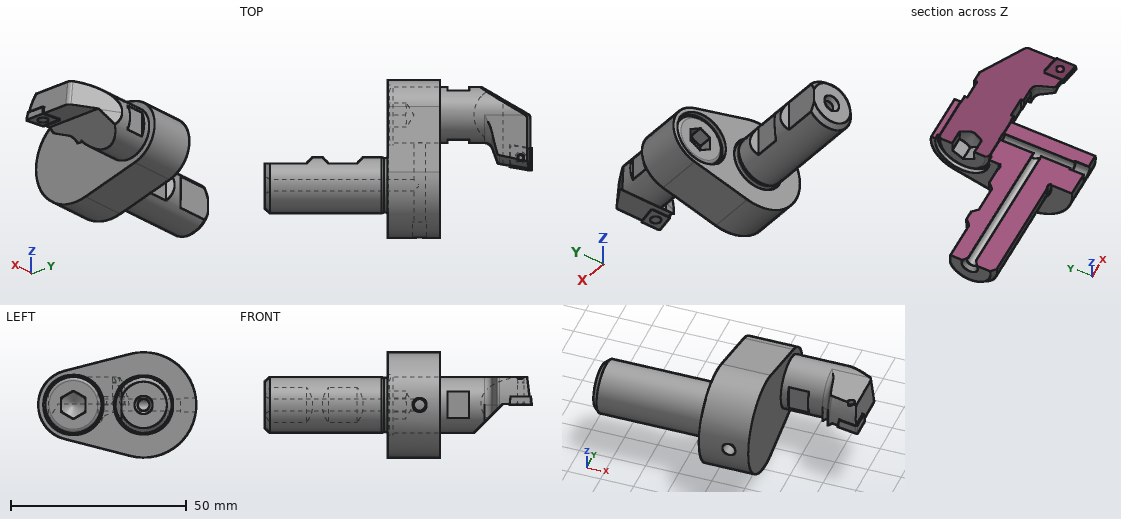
import cadquery as cq
import math


overall_length = 76.0

housing_length = 15.0
housing_width = 45.0
big_end_radius = 30.0 / 2
small_end_radius = 10.0
bar_offset = housing_width - big_end_radius - small_end_radius

shank_radius = 8.0
shank_length = 34.95
shank_chamfer_length = 1.5
shank_chamfer_depth = 1.4
shank_flat_height = 6.2
rear_flat_end = -23.0
front_flat_start = -16.8
front_flat_end = -8.7

undercut_radius = 7.75
undercut_start = -1.75
undercut_floor_start = -1.1
undercut_floor_end = -0.45
undercut_face_depth = 0.2
undercut_inner_radius = 8.1
undercut_mouth_radius = 8.4

channel_radius = 1.7
shank_countersink_radius = 2.6
shank_countersink_angle = 60.0
cross_hole_x = 9.1
thread_radius = 2.0
thread_depth = 4.55

bar_radius = 8.0
bar_recess = 0.6
bar_end_fillet = 1.1
counterbore_radius = 8.6
counterbore_depth = 1.5
socket_width = 6.9
socket_depth = 4.55
socket_cone_radius = 3.8
drill_point_angle = 118.0
wrench_flat_start = 17.1
wrench_flat_length = 6.1
wrench_flat_width = 14.05

neck_x = 29.2
neck_fillet = 2.3
neck_angle = 70.0
shoulder_radius = 13.8
shoulder_fillet = 0.75
side_angle = 10.0
nose_face_x = 40.65
clearance_angle = 7.0
back_slope_start = 26.6
back_slope_angle = 30.0
back_lean_angle = 4.0
back_corner_fillet = 1.5
throat_end = 32.5
rake_floor = 0.2

insert_tip_x = overall_length - shank_length
insert_tip_drop = 15.9
inscribed_diameter = 6.4
insert_thickness = 2.4
insert_nose_radius = 0.4
corner_angle = 90.0 - side_angle
screw_radius = 1.0
screw_head_radius = 1.6
screw_end_chamfer = 0.2
screw_recess = 1.5

SPAN = 76.0


def cylinder_x(radius, start, end, y=0.0):
    """Solid cylinder along X from start to end."""
    return cq.Workplane("YZ", origin=(start, y, 0)).circle(radius).extrude(end - start)


def frustum_z(radius_low, radius_high, z_low, z_high, x, y):
    """Solid cone frustum along Z."""
    cone = cq.Solid.makeCone(radius_low, radius_high, z_high - z_low, cq.Vector(x, y, z_low))
    return cq.Workplane(obj=cone)


def block(x_range, y_range, z_range):
    """Box given by its limits along each axis."""
    ranges = (x_range, y_range, z_range)
    size = [high - low for low, high in ranges]
    low_corner = cq.Vector(*[low for low, high in ranges])
    return cq.Workplane(obj=cq.Solid.makeBox(*size, low_corner))


def corner_arc(before, corner, after, radius):
    """Start, middle and end of the arc that rounds the corner between two straight lines."""
    to_before = (cq.Vector(*before) - cq.Vector(*corner)).normalized()
    to_after = (cq.Vector(*after) - cq.Vector(*corner)).normalized()
    half_angle = to_before.getAngle(to_after) / 2
    setback = radius / math.tan(half_angle)
    middle_distance = radius / math.sin(half_angle) - radius
    start = cq.Vector(*corner) + to_before * setback
    middle = cq.Vector(*corner) + (to_before + to_after).normalized() * middle_distance
    end = cq.Vector(*corner) + to_after * setback
    return [point.toTuple()[:2] for point in (start, middle, end)]



def housing_plate():
    """Two round ends of different radius joined by tangent flats."""
    tangent_sine = (big_end_radius - small_end_radius) / bar_offset
    tangent_cosine = math.sqrt(1 - tangent_sine**2)
    big_y = big_end_radius * tangent_sine
    big_z = big_end_radius * tangent_cosine
    small_y = bar_offset + small_end_radius * tangent_sine
    small_z = small_end_radius * tangent_cosine
    return (
        cq.Workplane("YZ")
        .moveTo(big_y, big_z)
        .threePointArc((-big_end_radius, 0), (big_y, -big_z))
        .lineTo(small_y, -small_z)
        .threePointArc((bar_offset + small_end_radius, 0), (small_y, small_z))
        .close()
        .extrude(housing_length)
    )


def shank():
    """Chamfered shank with its undercut, running a little way into the housing."""
    end = -shank_length
    return (
        cq.Workplane("XY")
        .moveTo(end, 0)
        .lineTo(end, shank_radius - shank_chamfer_depth)
        .lineTo(end + shank_chamfer_length, shank_radius)
        .lineTo(undercut_start, shank_radius)
        .lineTo(undercut_floor_start, undercut_radius)
        .lineTo(undercut_floor_end, undercut_radius)
        .tangentArcPoint((undercut_face_depth, undercut_inner_radius), relative=False)
        .lineTo(undercut_face_depth, 0)
        .close()
        .revolve(360, (0, 0, 0), (1, 0, 0))
    )


def face_groove():
    """Recess of the undercut in the rear face, sloping out to its mouth."""
    return (
        cq.Workplane("XY")
        .moveTo(0, undercut_radius)
        .lineTo(undercut_face_depth, undercut_radius)
        .lineTo(undercut_face_depth, undercut_inner_radius)
        .lineTo(0, undercut_mouth_radius)
        .close()
        .revolve(360, (0, 0, 0), (1, 0, 0))
    )


def shank_flat(start, end, rear_ramp):
    """Cutter for a clamping flat on the +Y side, with 45 degree ramps at its ends."""
    rise = shank_radius - shank_flat_height
    ramp = rise if rear_ramp else 0
    return (
        cq.Workplane("XY")
        .polyline([
            (start, shank_flat_height),
            (end, shank_flat_height),
            (end + rise, shank_radius),
            (start - ramp, shank_radius),
        ])
        .close()
        .extrude(shank_radius, both=True)
    )


def shank_mouth():
    """Conical mouth of the shank channel."""
    depth = (shank_countersink_radius - channel_radius) / math.tan(math.radians(shank_countersink_angle / 2))
    cone = cq.Solid.makeCone(
        shank_countersink_radius, channel_radius, depth, cq.Vector(-shank_length, 0, 0), cq.Vector(1, 0, 0)
    )
    return cq.Workplane(obj=cone)


def cross_hole():
    """Hole from the big end through to the bar bore, widened by its thread at the mouth."""
    mouth = cq.Workplane("XZ", origin=(cross_hole_x, -big_end_radius, 0))
    channel = mouth.circle(channel_radius).extrude(-(big_end_radius + bar_offset))
    thread = mouth.circle(thread_radius).extrude(-thread_depth)
    return channel.union(thread)


def make_housing():
    body = housing_plate().cut(face_groove()).union(shank())
    body = body.cut(shank_flat(-shank_length, rear_flat_end, rear_ramp=False))
    body = body.cut(shank_flat(front_flat_start, front_flat_end, rear_ramp=True))
    body = body.cut(cylinder_x(channel_radius, -shank_length, cross_hole_x))
    body = body.cut(shank_mouth())
    body = body.cut(cross_hole())
    body = body.cut(cylinder_x(bar_radius, 0, housing_length, bar_offset))
    return body.cut(cylinder_x(counterbore_radius, 0, counterbore_depth, bar_offset))



def insert_center():
    """Middle of the insert, reached from the cutting corner along its bisector."""
    half_diagonal = inscribed_diameter / 2 / math.sin(math.radians(corner_angle / 2))
    direction = math.radians(90 + corner_angle / 2)
    x = insert_tip_x + half_diagonal * math.cos(direction)
    y = bar_offset - insert_tip_drop + half_diagonal * math.sin(direction)
    return x, y


def insert_blank():
    """Rhombic prism with its cutting face at z = 0, tapering upward by the clearance angle."""
    edge = inscribed_diameter / math.sin(math.radians(corner_angle))
    tip_y = bar_offset - insert_tip_drop
    side_x = -edge * math.cos(math.radians(side_angle))
    side_y = edge * math.sin(math.radians(side_angle))
    prism = (
        cq.Workplane("XY")
        .polyline([
            (insert_tip_x, tip_y),
            (insert_tip_x, tip_y + edge),
            (insert_tip_x + side_x, tip_y + edge + side_y),
            (insert_tip_x + side_x, tip_y + side_y),
        ])
        .close()
        .extrude(insert_thickness, taper=clearance_angle)
    )
    return prism.edges("not #Z").edges("<Y or >Y").fillet(insert_nose_radius)


def make_insert_screw():
    """Countersunk screw with its head flush in the insert and a chamfered end."""
    x, y = insert_center()
    end_z = bar_radius - screw_recess
    chamfer_z = end_z - screw_end_chamfer
    head = frustum_z(screw_head_radius, screw_radius, 0, screw_head_radius - screw_radius, x, y)
    body = cq.Workplane("XY", origin=(x, y, 0)).circle(screw_radius).extrude(chamfer_z)
    tip = frustum_z(screw_radius, screw_radius - screw_end_chamfer, chamfer_z, end_z, x, y)
    return head.union(body).union(tip)



def hex_socket():
    """Hexagonal socket with a drilled point, its flats facing +Y and -Y."""
    corner_diameter = socket_width / math.cos(math.radians(30))
    point_depth = socket_cone_radius / math.tan(math.radians(drill_point_angle / 2))
    floor_x = bar_recess + socket_depth
    prism = (
        cq.Workplane("YZ", origin=(bar_recess, bar_offset, 0))
        .transformed(rotate=(0, 0, 90))
        .polygon(6, corner_diameter)
        .extrude(socket_depth + point_depth)
    )
    point = cq.Solid.makeCone(
        socket_cone_radius, 0, point_depth, cq.Vector(floor_x, bar_offset, 0), cq.Vector(1, 0, 0)
    )
    drilled = cylinder_x(corner_diameter, bar_recess, floor_x, bar_offset).union(cq.Workplane(obj=point))
    return prism.intersect(drilled)


def wrench_flats():
    """Cutters for the two opposite flats on the +Y and -Y sides of the bar."""
    x_range = (wrench_flat_start, wrench_flat_start + wrench_flat_length)
    z_range = (-bar_radius, bar_radius)
    flat = wrench_flat_width / 2
    near = block(x_range, (bar_offset - bar_radius, bar_offset - flat), z_range)
    far = block(x_range, (bar_offset + flat, bar_offset + bar_radius), z_range)
    return near.add(far).combine()


def head_outline():
    """Half section of the head on the -Y side of the bar axis, up to beyond its front face."""
    neck_run = (shoulder_radius - bar_radius) / math.tan(math.radians(neck_angle))
    end_rise = (insert_tip_x - neck_x - neck_run) * math.tan(math.radians(side_angle))
    bar_line = (0, -bar_radius)
    neck = (neck_x, -bar_radius)
    shoulder = (neck_x + neck_run, -shoulder_radius)
    end = (insert_tip_x, -shoulder_radius - end_rise)
    neck_start, neck_middle, neck_end = corner_arc(bar_line, neck, shoulder, neck_fillet)
    shoulder_start, shoulder_middle, shoulder_end = corner_arc(neck, shoulder, end, shoulder_fillet)
    return (
        cq.Workplane("XY", origin=(0, bar_offset, 0))
        .moveTo(neck_start[0], 0)
        .lineTo(*neck_start)
        .threePointArc(neck_middle, neck_end)
        .lineTo(*shoulder_start)
        .threePointArc(shoulder_middle, shoulder_end)
        .lineTo(*end)
        .lineTo(insert_tip_x, 0)
        .close()
    )


def head_blank():
    """Head turned about the bar axis above z = 0 and straight below it, flat on top."""
    turned = head_outline().revolve(90, (0, 0, 0), (-1, 0, 0))
    straight = head_outline().extrude(-bar_radius)
    top_limit = block((0, SPAN), (-SPAN, SPAN), (-SPAN, bar_radius))
    return turned.intersect(top_limit).union(straight)


def add_envelope_outline(plane, height):
    """Draw the plan of the front face and the sloping back face, leaning inward up to this height."""
    slope = math.radians(back_slope_angle)
    front_x = nose_face_x - height * math.tan(math.radians(clearance_angle))
    back_lean = height * math.tan(math.radians(back_lean_angle)) / math.cos(slope)
    back_y = bar_offset + bar_radius - back_lean
    rear = (0, back_y + back_slope_start * math.tan(slope))
    corner = (front_x, back_y - (front_x - back_slope_start) * math.tan(slope))
    front = (front_x, -SPAN)
    arc_start, arc_middle, arc_end = corner_arc(front, corner, rear, back_corner_fillet)
    return (
        plane.moveTo(0, -SPAN)
        .lineTo(*front)
        .lineTo(*arc_start)
        .threePointArc(arc_middle, arc_end)
        .lineTo(*rear)
        .close()
    )


def head_envelope():
    """Space left by the front and back faces: leaning above z = 0, upright below it."""
    base = add_envelope_outline(cq.Workplane("XY"), 0)
    upper = add_envelope_outline(base.workplane(offset=bar_radius), bar_radius).loft(ruled=True)
    lower = add_envelope_outline(cq.Workplane("XY"), 0).extrude(-bar_radius)
    behind_slope = block((-SPAN, back_slope_start), (-SPAN, SPAN), (-SPAN, SPAN))
    return upper.union(lower).union(behind_slope)


def throat():
    """Space below the cutting edge: a 45 degree run-out ending in a flat underside."""
    return (
        cq.Workplane("XZ")
        .polyline([
            (throat_end + rake_floor, rake_floor),
            (SPAN, rake_floor),
            (SPAN, -SPAN),
            (throat_end - SPAN, -SPAN),
        ])
        .close()
        .extrude(SPAN, both=True)
    )


def make_boring_bar(insert_shape):
    bar = cylinder_x(bar_radius, bar_recess, nose_face_x, bar_offset)
    bar = bar.faces("<X").edges().fillet(bar_end_fillet)
    bar = bar.union(head_blank()).intersect(head_envelope()).cut(throat())
    bar = bar.cut(wrench_flats()).cut(hex_socket())
    x, y = insert_center()
    screw_hole = cq.Workplane("XY", origin=(x, y, 0)).circle(screw_radius).extrude(bar_radius)
    return bar.cut(insert_shape).cut(screw_hole)


housing = make_housing()
insert_screw = make_insert_screw()
insert_body = insert_blank()
boring_bar = make_boring_bar(insert_body)
insert = insert_body.cut(insert_screw)

result = cq.Compound.makeCompound([
    housing.val(),
    boring_bar.val(),
    insert.val(),
    insert_screw.val(),
])